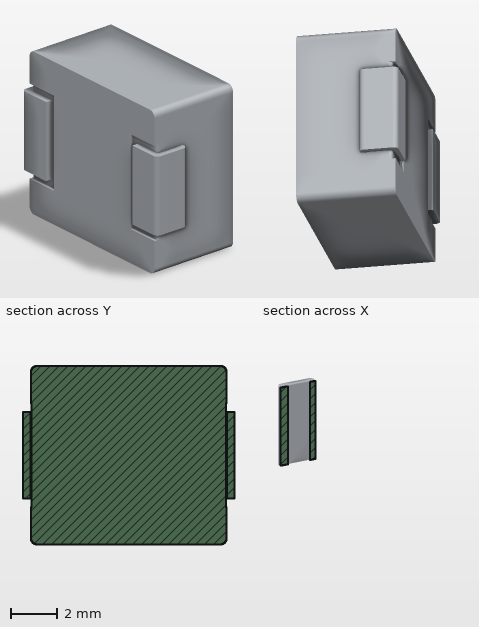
import cadquery as cq

overall_length = 9.18
overall_depth = 4.56

body_length = 8.51
body_depth = 4.41
body_height = 7.77
body_corner_radius = 0.3

terminal_thickness = 0.3
terminal_foot_length = 1.65
terminal_arm_length = 1.72
terminal_width = 3.76
terminal_outer_radius = 0.22
terminal_inner_radius = 0.165

pocket_length = 1.65
pocket_height = 4.52
pocket_edge_radius = 0.14

body_face_y = overall_depth - body_depth
pocket_floor_y = terminal_thickness
body_side_x = body_length / 2
terminal_side_x = overall_length / 2


def make_body():
    """Block with its four front-to-back edges rounded and its mounting face at body_face_y."""
    block = cq.Workplane("XY").box(body_length, body_depth, body_height)
    block = block.edges("|Y").fillet(body_corner_radius)
    return block.translate((0, body_face_y + body_depth / 2, 0))


def make_pocket_cutter():
    """Left pocket: open to the side, with the outer edge of its floor rounded over."""
    inner_x = pocket_length - body_side_x
    return (
        cq.Workplane("XY")
        .moveTo(inner_x, body_face_y)
        .lineTo(inner_x, pocket_floor_y)
        .lineTo(-body_side_x + pocket_edge_radius, pocket_floor_y)
        .tangentArcPoint((-body_side_x, pocket_floor_y + pocket_edge_radius), relative=False)
        .lineTo(-body_side_x, body_face_y)
        .close()
        .extrude(pocket_height / 2, both=True)
    )


def make_terminal():
    """Left terminal: foot on the pocket floor, arm just clear of the body side, lead joining the body."""
    foot_end_x = terminal_foot_length - terminal_side_x
    arm_inner_x = terminal_thickness - terminal_side_x
    lead_y = terminal_arm_length - terminal_thickness
    terminal = (
        cq.Workplane("XY")
        .moveTo(foot_end_x, 0)
        .lineTo(foot_end_x, terminal_thickness)
        .lineTo(arm_inner_x + terminal_inner_radius, terminal_thickness)
        .tangentArcPoint((arm_inner_x, terminal_thickness + terminal_inner_radius), relative=False)
        .lineTo(arm_inner_x, lead_y)
        .lineTo(-body_side_x, lead_y)
        .lineTo(-body_side_x, terminal_arm_length)
        .lineTo(-terminal_side_x, terminal_arm_length)
        .lineTo(-terminal_side_x, 0)
        .close()
        .extrude(terminal_width / 2, both=True)
    )
    return terminal.faces("<X").edges("|Z").fillet(terminal_outer_radius)


def both_sides(left_shape):
    """The left-hand shape together with its mirror image on the right."""
    return left_shape, left_shape.mirror("YZ")


result = make_body()
for pocket in both_sides(make_pocket_cutter()):
    result = result.cut(pocket)
for terminal in both_sides(make_terminal()):
    result = result.union(terminal)